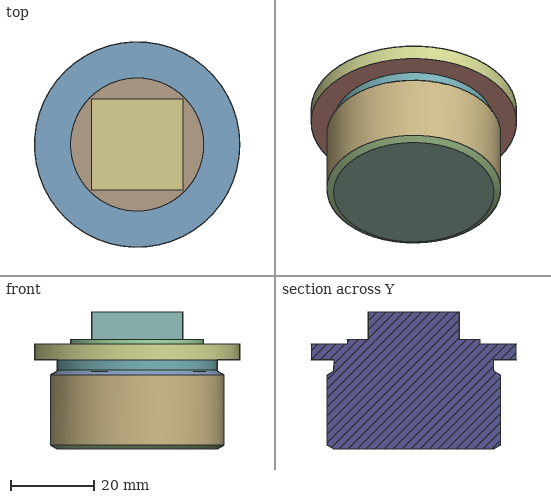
import cadquery as cq
import math

flange_diameter = 49.5
body_diameter = 41.9
neck_diameter = 38.6
collar_diameter = 32.1

overall_height = 33.0
square_height = 6.6
collar_height = 1.1
flange_thickness = 3.85
neck_length = 2.65

square_side = 22.0
neck_fillet_radius = 0.35
chamfer_angle = 30.0

body_radius = body_diameter / 2
neck_radius = neck_diameter / 2
flange_radius = flange_diameter / 2
collar_radius = collar_diameter / 2

chamfer_width = body_radius - neck_radius
chamfer_height = chamfer_width * math.tan(math.radians(chamfer_angle))

collar_top = overall_height - square_height
flange_top = collar_top - collar_height
flange_bottom = flange_top - flange_thickness
body_top = flange_bottom - neck_length

profile = [
    (0, 0),
    (neck_radius, 0),
    (body_radius, chamfer_height),
    (body_radius, body_top - chamfer_height),
    (neck_radius, body_top),
    (neck_radius, flange_bottom),
    (flange_radius, flange_bottom),
    (flange_radius, flange_top),
    (collar_radius, flange_top),
    (collar_radius, collar_top),
    (0, collar_top),
]
plug = cq.Workplane("XZ").polyline(profile).close().revolve(360, (0, 0), (0, 1))

corner_tolerance = 0.05
corner_edge = cq.selectors.BoxSelector(
    (-body_radius, -body_radius, body_top - corner_tolerance),
    (body_radius, body_radius, body_top + corner_tolerance),
    boundingbox=True,
)
plug = plug.edges(corner_edge).fillet(neck_fillet_radius)

square_head = (
    cq.Workplane("XY")
    .workplane(offset=collar_top)
    .rect(square_side, square_side)
    .extrude(square_height)
)

result = plug.union(square_head)